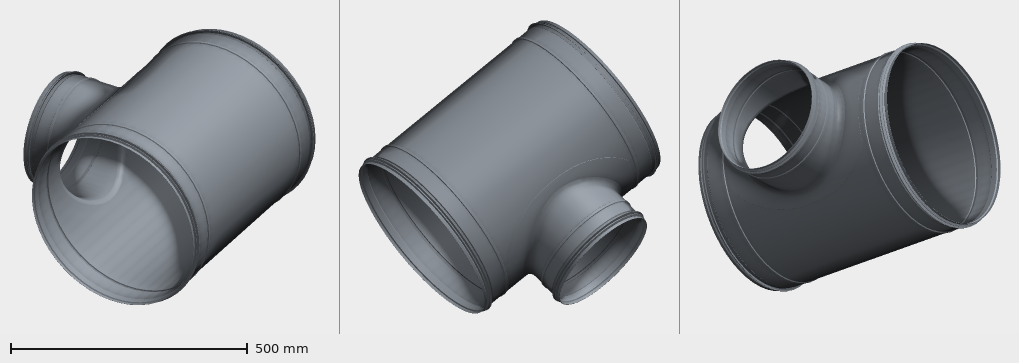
import cadquery as cq

main_nominal = 400.0
branch_nominal = 250.0
main_outer = 398.5
branch_outer = 248.0
main_length = 499.0
branch_end_x = -295.5
sheet = 0.5

groove_start = 6.0
groove_end = 24.0
groove_slope = 2.0
groove_undersize = 6.0
bead_width = 7.5
bead_crown_width = 5.0
bead_height = 2.0
main_bead_position = 63.0
branch_bead_position = 54.0
hem_length = 2.5

gasket_band = 0.6
lip_thickness = 1.0
lip_rake = 2.0
lip_roots = (8.0, 13.5)
lip_oversizes = (4.0, 9.0)

flare_radius = 15.0
saddle_half_length = 174.0
saddle_corner_z = 76.0
saddle_shoulders = ((127.0, 119.5), (70.0, 140.5))
saddle_half_height = 146.5

main_radius = main_outer / 2
branch_radius = branch_outer / 2
half_length = main_length / 2
branch_length = branch_bead_position + bead_width / 2
flare_start_x = branch_end_x + branch_length


def revolve(profile):
    """Revolve a closed profile of (radius, axial) points about Z."""
    return (
        cq.Workplane("XZ").polyline(profile).close()
        .revolve(360, (0, 0, 0), (0, 1, 0))
    )


def end_outline(nominal, outer, bead_position):
    """Outer (radius, axial) points of a duct end from Z = 0: gasket groove, then raised bead."""
    radius = outer / 2
    groove_radius = (nominal - groove_undersize) / 2
    bead_radius = radius + bead_height
    return [
        (radius, 0),
        (radius, groove_start),
        (groove_radius, groove_start + groove_slope),
        (groove_radius, groove_end - groove_slope),
        (radius, groove_end),
        (radius, bead_position - bead_width / 2),
        (bead_radius, bead_position - bead_crown_width / 2),
        (bead_radius, bead_position + bead_crown_width / 2),
        (radius, bead_position + bead_width / 2),
    ]


def sheet_tube(outside):
    """Tube of sheet thickness whose outer surface follows the given (radius, axial) points."""
    inside = [(radius - sheet, z) for radius, z in reversed(outside)]
    return revolve(outside + inside)


def gasket_ring(nominal):
    """Gasket lying in the groove of a duct end whose open end is at Z = 0."""
    groove_radius = (nominal - groove_undersize) / 2
    band_radius = groove_radius + gasket_band
    band_start = groove_start + groove_slope
    band_end = groove_end - groove_slope
    ring = revolve([
        (groove_radius, band_start),
        (groove_radius, band_end),
        (band_radius, band_end),
        (band_radius, band_start),
    ])
    for root, oversize in zip(lip_roots, lip_oversizes):
        tip_radius = (nominal + oversize) / 2
        lip = revolve([
            (groove_radius, root),
            (groove_radius, root + lip_thickness),
            (band_radius, root + lip_thickness),
            (tip_radius, root + lip_thickness + lip_rake),
            (tip_radius, root + lip_rake),
            (band_radius, root),
        ])
        ring = ring.union(lip)
    return ring


def at_front_end(body):
    """Move a part from the Z axis to the -Y end of the main duct, pointing inwards."""
    return body.rotate((0, 0, 0), (1, 0, 0), -90).translate((0, -half_length, 0))


def at_branch_end(body):
    """Move a part from the Z axis to the open end of the branch, pointing inwards."""
    return body.rotate((0, 0, 0), (0, 1, 0), 90).translate((branch_end_x, 0, 0))


def make_main_duct():
    front = end_outline(main_nominal, main_outer, main_bead_position)
    back = [(radius, main_length - z) for radius, z in reversed(front)]
    opening_half_length = branch_radius + flare_radius
    opening_half_height = opening_half_length * main_radius / (main_radius + flare_radius + sheet)
    opening = (
        cq.Workplane("YZ").ellipse(opening_half_length, opening_half_height).extrude(branch_end_x)
    )
    return at_front_end(sheet_tube(front + back)).cut(opening)


def flared_tee(duct_radius, pipe_radius, fillet):
    """Solid cylinder along Y with a pipe leaving towards -X through a filleted junction."""
    duct = cq.Workplane("XZ").circle(duct_radius).extrude(half_length, both=True)
    pipe = cq.Workplane("YZ").circle(pipe_radius).extrude(flare_start_x)
    tee = duct.union(pipe)
    reach = pipe_radius + fillet
    junction = tee.edges(cq.selectors.BoxSelector(
        (-duct_radius - fillet, -reach, -reach),
        (0, reach, reach),
        boundingbox=True,
    ))
    return junction.fillet(fillet)


def saddle_outline():
    """Prism that trims the saddle plate: straight short sides, bowed long sides."""
    upper = [(-y, z) for y, z in saddle_shoulders]
    upper += [(0, saddle_half_height)]
    upper += [(y, z) for y, z in reversed(saddle_shoulders)]
    upper += [(saddle_half_length, saddle_corner_z)]
    lower = [(-y, -z) for y, z in upper[:-1]] + [(-saddle_half_length, -saddle_corner_z)]
    return (
        cq.Workplane("YZ")
        .moveTo(-saddle_half_length, saddle_corner_z)
        .spline(upper, includeCurrent=True)
        .lineTo(saddle_half_length, -saddle_corner_z)
        .spline(lower, includeCurrent=True)
        .close()
        .extrude(branch_end_x)
    )


def make_saddle_branch():
    outside = flared_tee(main_radius + sheet, branch_radius, flare_radius)
    inside = flared_tee(main_radius, branch_radius - sheet, flare_radius + sheet)
    plate = outside.cut(inside).intersect(saddle_outline())
    sleeve = sheet_tube(end_outline(branch_nominal, branch_outer, branch_bead_position))
    hem = (
        cq.Workplane("XY").circle(branch_radius + sheet).circle(branch_radius - sheet)
        .extrude(hem_length)
    )
    return plate.union(at_branch_end(sleeve.union(hem)))


main_duct = make_main_duct()
saddle_branch = make_saddle_branch()
front_gasket = at_front_end(gasket_ring(main_nominal))
main_gaskets = [front_gasket, front_gasket.mirror("XZ")]
branch_gasket = at_branch_end(gasket_ring(branch_nominal))

result = cq.Compound.makeCompound([
    main_duct.val(),
    saddle_branch.val(),
    *[gasket.val() for gasket in main_gaskets],
    branch_gasket.val(),
])